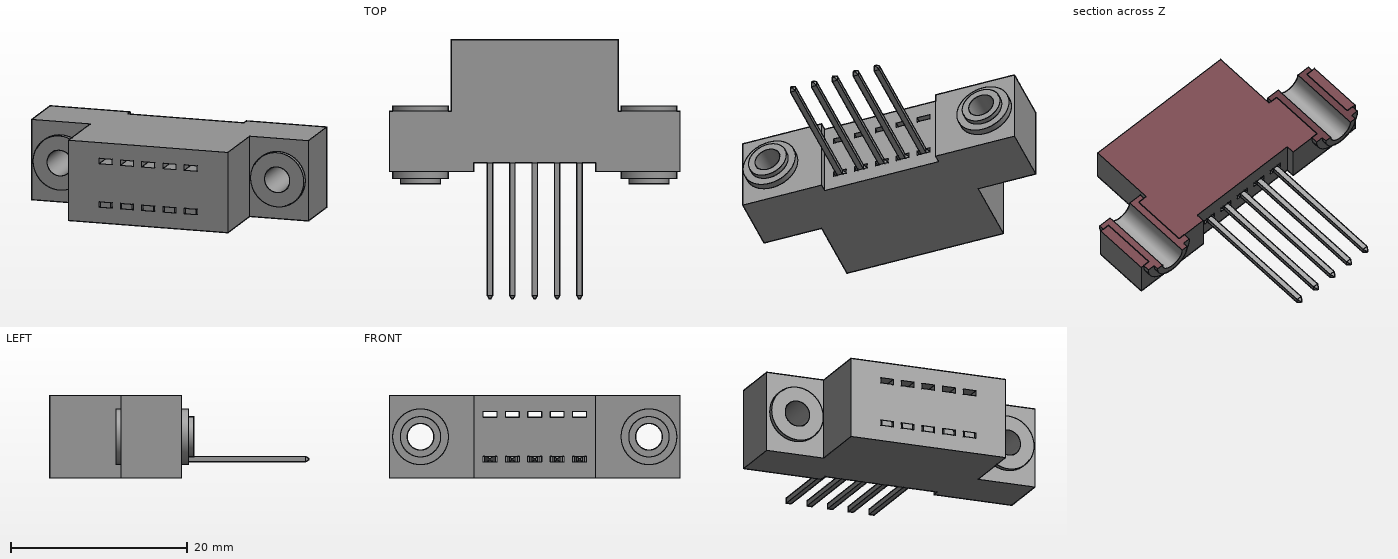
import cadquery as cq

block_width = 33.02
housing_height = 9.4
block_depth = 6.87
tongue_width = 19.02
tongue_depth = 8.12
recess_width = 13.85
recess_depth = 1.0

contact_count = 5
contact_pitch = 2.55
row_offset = 2.55
slot_width = 1.55

pin_size = 0.63
pin_root_width = 1.22
flare_length = 0.73
tip_size = 0.2
tip_length = 0.4
pin_reach = 14.45

bushing_spacing = 25.95
bore_diameter = 3.0
sleeve_diameter = 4.6
flange_diameter = 6.35
rear_flange_thickness = 0.6
front_flange_thickness = 0.8
sleeve_protrusion = 1.4

tongue_back_y = block_depth + tongue_depth
tip_end_y = -pin_reach
tip_start_y = tip_end_y + tip_length
flare_start_y = recess_depth
flare_end_y = flare_start_y + flare_length
contact_xs = [(i - (contact_count - 1) / 2) * contact_pitch for i in range(contact_count)]
bushing_xs = [-bushing_spacing / 2, bushing_spacing / 2]


def box_along_y(width, height, front_y, back_y):
    """Box centred on X = 0 and Z = 0 that runs from front_y to back_y."""
    return (
        cq.Workplane("XY")
        .box(width, back_y - front_y, height, centered=(True, False, True))
        .translate((0, front_y, 0))
    )


def disc_along_y(diameter, front_y, back_y):
    """Cylinder about the Y axis that runs from front_y to back_y."""
    return (
        cq.Workplane("XZ", origin=(0, front_y, 0))
        .circle(diameter / 2)
        .extrude(front_y - back_y)
    )


def make_housing():
    body = box_along_y(block_width, housing_height, 0, block_depth)
    body = body.union(box_along_y(tongue_width, housing_height, block_depth, tongue_back_y))
    body = body.cut(box_along_y(recess_width, housing_height, 0, recess_depth))

    slot = box_along_y(slot_width, pin_size, 0, tongue_back_y)
    for x in contact_xs:
        for z in (-row_offset, row_offset):
            body = body.cut(slot.translate((x, 0, z)))

    sleeve_hole = disc_along_y(sleeve_diameter, 0, block_depth)
    for x in bushing_xs:
        body = body.cut(sleeve_hole.translate((x, 0, 0)))
    return body


def make_pin(x):
    shank = (
        cq.Workplane("XY", origin=(0, 0, -pin_size / 2))
        .moveTo(-pin_root_width / 2, tongue_back_y)
        .lineTo(-pin_root_width / 2, flare_end_y)
        .lineTo(-pin_size / 2, flare_start_y)
        .lineTo(-pin_size / 2, tip_start_y)
        .lineTo(pin_size / 2, tip_start_y)
        .lineTo(pin_size / 2, flare_start_y)
        .lineTo(pin_root_width / 2, flare_end_y)
        .lineTo(pin_root_width / 2, tongue_back_y)
        .close()
        .extrude(pin_size)
    )
    tip = (
        cq.Workplane("XZ", origin=(0, tip_start_y, 0))
        .rect(pin_size, pin_size)
        .workplane(offset=tip_length)
        .rect(tip_size, tip_size)
        .loft(ruled=True)
    )
    return shank.union(tip).translate((x, 0, -row_offset))


def make_bushing(x):
    rear_y = block_depth + rear_flange_thickness
    body = disc_along_y(sleeve_diameter, -sleeve_protrusion, rear_y)
    body = body.union(disc_along_y(flange_diameter, -front_flange_thickness, 0))
    body = body.union(disc_along_y(flange_diameter, block_depth, rear_y))
    body = body.cut(disc_along_y(bore_diameter, -sleeve_protrusion, rear_y))
    return body.translate((x, 0, 0))


housing = make_housing()
pins = [make_pin(x) for x in contact_xs]
bushings = [make_bushing(x) for x in bushing_xs]

result = cq.Compound.makeCompound(
    [housing.val()]
    + [pin.val() for pin in pins]
    + [bushing.val() for bushing in bushings]
)